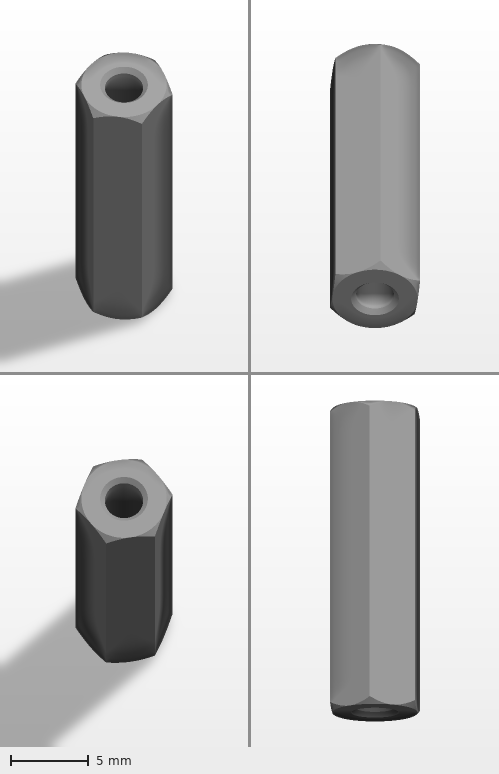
import cadquery as cq
import math

length = 20.0
across_flats = 5.5
bore_diameter = 2.45
countersink_diameter = 3.08
countersink_angle = 90.0
corner_chamfer_angle = 45.0

across_corners = across_flats / math.cos(math.radians(30))
end_face_radius = across_flats / 2
corner_radius = across_corners / 2
corner_drop = (corner_radius - end_face_radius) * math.tan(math.radians(corner_chamfer_angle))
bore_radius = bore_diameter / 2
countersink_radius = countersink_diameter / 2
countersink_depth = (countersink_radius - bore_radius) / math.tan(math.radians(countersink_angle / 2))


def hexagonal_bar():
    """Hexagon with two corners on the X axis, centred on Z."""
    return cq.Workplane("XY").polygon(6, across_corners).extrude(length)


def corner_envelope():
    """Turned cylinder whose conical ends trim the hexagon corners."""
    return (
        cq.Workplane("XZ")
        .moveTo(0, 0)
        .lineTo(end_face_radius, 0)
        .lineTo(corner_radius, corner_drop)
        .lineTo(corner_radius, length - corner_drop)
        .lineTo(end_face_radius, length)
        .lineTo(0, length)
        .close()
        .revolve(360, (0, 0), (0, 1))
    )


def countersunk_bore():
    """Through bore with a conical mouth at each end."""
    return (
        cq.Workplane("XZ")
        .moveTo(0, 0)
        .lineTo(countersink_radius, 0)
        .lineTo(bore_radius, countersink_depth)
        .lineTo(bore_radius, length - countersink_depth)
        .lineTo(countersink_radius, length)
        .lineTo(0, length)
        .close()
        .revolve(360, (0, 0), (0, 1))
    )


result = hexagonal_bar().intersect(corner_envelope()).cut(countersunk_bore())